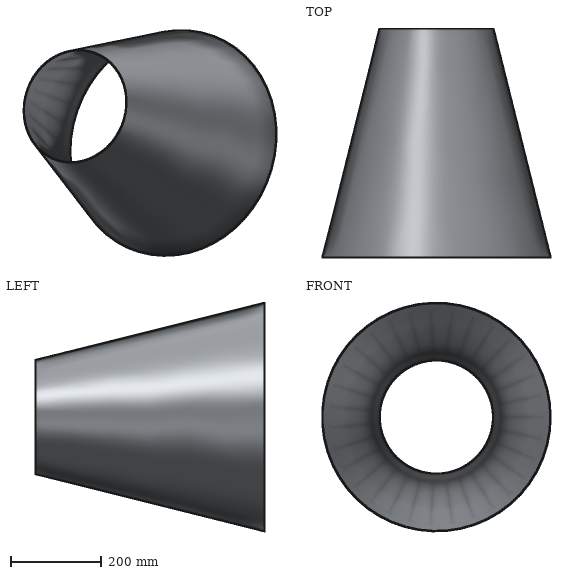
import cadquery as cq

large_diameter = 508.0
small_diameter = 254.0
length = 508.0
wall = 2.0

large_radius = large_diameter / 2
small_radius = small_diameter / 2


def reducer_shell():
    """Revolve the wall section (radius along X, length along Y) about the Y axis."""
    section = cq.Workplane("XY").polyline(
        [
            (large_radius - wall, 0),
            (large_radius, 0),
            (small_radius, length),
            (small_radius - wall, length),
        ]
    ).close()
    return section.revolve(360, (0, 0, 0), (0, 1, 0))


result = reducer_shell()